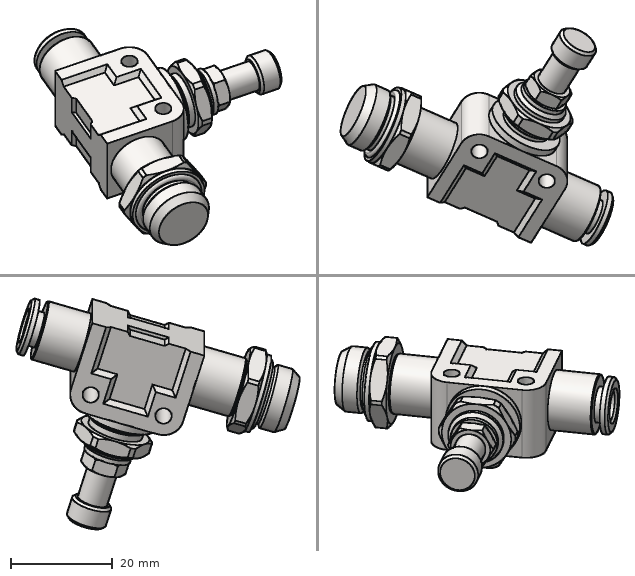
import cadquery as cq
import math


hexagon_ratio = 1 / math.cos(math.pi / 6)

body_half_width = 11.55
body_front = -6.85
body_back = 11.5
body_half_height = 7.5
body_corner_radius = 4.0

mount_hole_diameter = 3.2
mount_hole_x = 7.5
mount_hole_y = 7.5

pocket_depth = 1.0
pocket_wide_half = 8.7
pocket_wide_end = 3.2
pocket_narrow_half = 4.6
pocket_narrow_end = 8.55

recess_depth = 0.7
recess_half_width = 4.25
recess_inner_z = 2.6

socket_radius = 6.0
socket_end = -20.4
socket_edge = 0.2
release_end = -23.55
release_inner = -22.0
release_radius = 5.75
release_edge = 0.55
release_neck_radius = 3.6
tube_bore_radius = 3.05
tube_bore_depth = 12.0
tube_bore_edge = 0.5

pipe_shoulder = 20.3
pipe_nut_start = 20.65
pipe_nut_end = 24.1
pipe_nut_flats = 16.0
pipe_nut_corners = 18.0
pipe_nut_edge = 0.6
washer_radius = 7.9
washer_end = 25.05
seal_ring_radius = 6.5
seal_ring_thickness = 1.44
thread_neck_radius = 5.8
thread_start = 26.35
thread_radius = 6.52
thread_lead_in = 0.5
thread_taper_start = 29.85
thread_end = 31.65
thread_end_radius = 5.4

flange_radius = 7.5
flange_end = 13.0
bush_neck_radius = 5.05
bush_start = 14.0
bush_radius = 5.55
bush_edge = 0.2
bush_cone_start = 19.3
bush_cone_end = 20.0
collar_radius = 4.75
panel_nut_start = 15.5
panel_nut_end = 18.5
panel_nut_flats = 14.0
panel_nut_corners = 15.5
panel_nut_edge = 0.5
lock_nut_start = 20.95
lock_nut_end = 23.95
lock_nut_flats = 8.0
lock_nut_corners = lock_nut_flats * hexagon_ratio
lock_nut_edge = 0.35
screw_radius = 3.05
knob_start = 30.85
knob_end = 35.51
knob_radius = 4.05
knob_edge = 0.55


def turned(stations):
    """Solid of revolution about X through (x, radius) stations."""
    outline = [(stations[0][0], 0)] + stations + [(stations[-1][0], 0)]
    return cq.Workplane("XY").polyline(outline).close().revolve(360, (0, 0, 0), (1, 0, 0))


def along_y(solid):
    """Turn a solid built along +X so that it points along +Y."""
    return solid.rotate((0, 0, 0), (0, 0, 1), 90)


def hex_nut(start, end, flats, corners, edge):
    """Hexagonal nut along X, flats facing +Z and -Z, corners turned and beveled."""
    prism = cq.Workplane("YZ", origin=(start, 0, 0)).polygon(6, flats * hexagon_ratio).extrude(end - start)
    envelope = turned([
        (start, flats / 2),
        (start + edge, corners / 2),
        (end - edge, corners / 2),
        (end, flats / 2),
    ])
    return prism.intersect(envelope)


def both_sides(solid):
    """The solid together with its mirror image below the plane Z = 0."""
    return solid.union(solid.mirror("XY"))


def pocket_block(half_width, end):
    """Tapered pocket volume in the upper face, running out through the front face."""
    bottom_half_width = half_width - pocket_depth
    floor_z = body_half_height - pocket_depth
    cross_section = (
        cq.Workplane("XZ", origin=(0, end, 0))
        .polyline([
            (-half_width, body_half_height),
            (-bottom_half_width, floor_z),
            (bottom_half_width, floor_z),
            (half_width, body_half_height),
        ])
        .close()
        .extrude(end - body_front)
    )
    back_slope = (
        cq.Workplane("YZ", origin=(-half_width, 0, 0))
        .polyline([
            (end, body_half_height),
            (end, floor_z),
            (end - pocket_depth, floor_z),
        ])
        .close()
        .extrude(2 * half_width)
    )
    return cross_section.cut(back_slope)


def front_recess():
    """Shallow recess in the front face with 45 degree side walls and a square end."""
    inner_half_width = recess_half_width - recess_depth
    return (
        cq.Workplane("XY", origin=(0, 0, recess_inner_z))
        .polyline([
            (-recess_half_width, body_front),
            (-inner_half_width, body_front + recess_depth),
            (inner_half_width, body_front + recess_depth),
            (recess_half_width, body_front),
        ])
        .close()
        .extrude(body_half_height - recess_inner_z)
    )


def valve_body():
    """Block with rounded back corners, mounting holes, T pockets and front recesses."""
    block = (
        cq.Workplane("XY", origin=(0, (body_front + body_back) / 2, 0))
        .box(2 * body_half_width, body_back - body_front, 2 * body_half_height)
        .edges("|Z and >Y")
        .fillet(body_corner_radius)
    )
    holes = (
        cq.Workplane("XY", origin=(0, 0, -body_half_height))
        .pushPoints([(-mount_hole_x, mount_hole_y), (mount_hole_x, mount_hole_y)])
        .circle(mount_hole_diameter / 2)
        .extrude(2 * body_half_height)
    )
    wide_pocket = pocket_block(pocket_wide_half, pocket_wide_end)
    narrow_pocket = pocket_block(pocket_narrow_half, pocket_narrow_end)
    pockets = both_sides(wide_pocket.union(narrow_pocket))
    return block.cut(holes).cut(pockets).cut(both_sides(front_recess()))


def tube_socket():
    """Socket with a grooved release ring, outside the -X body face."""
    return turned([
        (release_end, release_radius - release_edge),
        (release_end + release_edge, release_radius),
        (release_inner, release_radius),
        (release_inner, release_neck_radius),
        (socket_end, release_neck_radius),
        (socket_end, socket_radius - socket_edge),
        (socket_end + socket_edge, socket_radius),
        (-body_half_width, socket_radius),
    ])


def tube_bore():
    """Blind bore for the tube with a countersunk mouth."""
    return turned([
        (release_end, tube_bore_radius + tube_bore_edge),
        (release_end + tube_bore_edge, tube_bore_radius),
        (release_end + tube_bore_depth, tube_bore_radius),
    ])


def seal_ring():
    """Round-section sealing ring, half sunk into the end of the washer."""
    return (
        cq.Workplane("XY")
        .center(washer_end, seal_ring_radius)
        .circle(seal_ring_thickness / 2)
        .revolve(360, (-washer_end, -seal_ring_radius, 0), (1 - washer_end, -seal_ring_radius, 0))
    )


def threaded_connection():
    """Pipe, washer, seal ring and tapered thread end, with the hexagonal nut."""
    spindle = turned([
        (body_half_width, socket_radius),
        (pipe_shoulder, socket_radius),
        (pipe_shoulder + socket_edge, socket_radius - socket_edge),
        (pipe_nut_end, socket_radius - socket_edge),
        (pipe_nut_end, washer_radius),
        (washer_end, washer_radius),
        (washer_end, thread_neck_radius),
        (thread_start, thread_neck_radius),
        (thread_start + thread_lead_in, thread_radius),
        (thread_taper_start, thread_radius),
        (thread_end, thread_end_radius),
    ])
    nut = hex_nut(pipe_nut_start, pipe_nut_end, pipe_nut_flats, pipe_nut_corners, pipe_nut_edge)
    return spindle.union(nut).union(seal_ring())


def adjusting_screw():
    """Flange, bush, screw and knob along +Y, with the panel nut and the lock nut."""
    spindle = turned([
        (body_back, flange_radius),
        (flange_end, flange_radius),
        (flange_end, bush_neck_radius),
        (bush_start, bush_neck_radius),
        (bush_start, bush_radius - bush_edge),
        (bush_start + bush_edge, bush_radius),
        (bush_cone_start, bush_radius),
        (bush_cone_end, collar_radius),
        (lock_nut_start, collar_radius),
        (lock_nut_start, screw_radius),
        (knob_start, screw_radius),
        (knob_start, knob_radius - knob_edge),
        (knob_start + knob_edge, knob_radius),
        (knob_end - knob_edge, knob_radius),
        (knob_end, knob_radius - knob_edge),
    ])
    panel_nut = hex_nut(
        panel_nut_start, panel_nut_end, panel_nut_flats, panel_nut_corners, panel_nut_edge
    )
    lock_nut = hex_nut(lock_nut_start, lock_nut_end, lock_nut_flats, lock_nut_corners, lock_nut_edge)
    return along_y(spindle.union(panel_nut).union(lock_nut))


result = (
    valve_body()
    .union(tube_socket())
    .union(threaded_connection())
    .union(adjusting_screw())
    .cut(tube_bore())
)